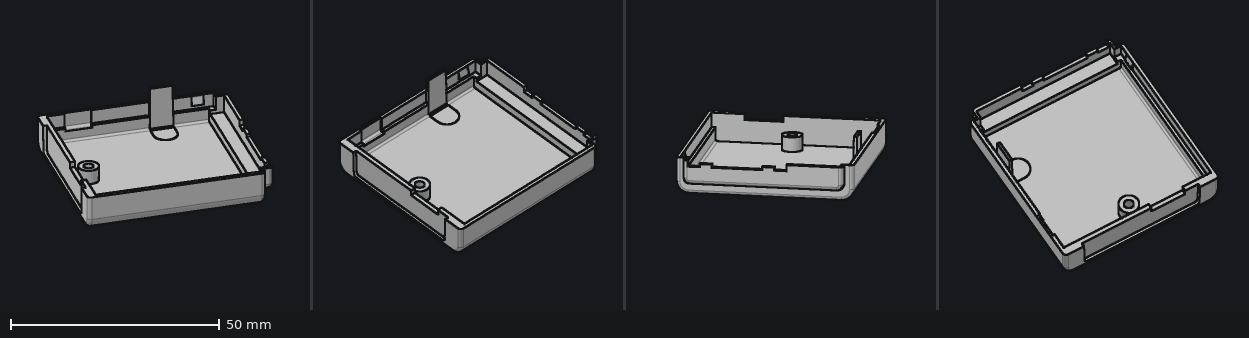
import cadquery as cq

width = 43.42
depth = 47.2
rim_height = 9.0
latch_height = 4.05

lip_projection = 2.6
body_depth = depth - lip_projection
side_radius = 3.0
corner_radius = 1.0
wall = 1.1
front_wall = 2.2
back_wall = 0.55

floor_z = 2.0
ledge_z = 5.45
shelf_z = 4.45

ledge_width = 0.95
well_fillet = 0.55
well_half_width = width / 2 - wall - ledge_width
well_back = 42.57

lip_half_width = 19.5
lip_bottom = 3.05
lip_side_radius = 1.5
lip_overlap = 2.35
lip_side_wall = 0.75
lip_back_wall = 1.15
shelf_half_width = lip_half_width - lip_side_wall

back_notch_left = -5.75
back_notch_right = 18.4
back_notch_depth = 1.5
stop_width = 2.95
stop_inset = 2.95
stop_drop = 0.75

panel_half_width = 16.3
panel_bottom_half_width = 16.05
panel_bottom = 1.6
panel_depth = 0.95
panel_radius = 0.95
front_notch_left = 3.15
front_notch_right = 12.65
front_notch_depth = 1.45

boss_x = 0.2
boss_y = 6.5
boss_radius = 2.5
boss_top = 5.6
screw_radius = 1.2

latch_front = 27.7
latch_width = 5.95
latch_thickness = 1.05
latch_taper = 0.8
pad_round_offset = 4.3
pad_height = 0.1

relief_front = 6.65
relief_length = 6.7
relief_depth = 0.42
relief_fillet = 0.65

snap_front = 38.4
snap_length = 3.0
snap_projection = 0.55
snap_top_drop = 0.4
snap_height = 2.1


def block(x_min, x_max, y_min, y_max, z_min, z_max):
    """Box given by its limits along each axis."""
    size = (x_max - x_min, y_max - y_min, z_max - z_min)
    return cq.Workplane("XY").box(*size, centered=False).translate((x_min, y_min, z_min))


def rounded_body(half_width, y_min, y_max, z_min, bottom_radius):
    """Block with round long bottom edges and a small radius around both ends."""
    body = block(-half_width, half_width, y_min, y_max, z_min, rim_height)
    body = body.edges("|Y and <Z").fillet(bottom_radius)
    return body.faces("<Y or >Y").edges("not(>Z)").fillet(corner_radius)


def outer_shell():
    body = rounded_body(width / 2, 0, body_depth, 0, side_radius)
    lip = rounded_body(lip_half_width, body_depth - lip_overlap, depth, lip_bottom, lip_side_radius)
    return body.union(lip)


def cavity():
    inner = width / 2 - wall
    upper = block(-inner, inner, front_wall, body_depth - back_wall, ledge_z, rim_height)
    well = block(-well_half_width, well_half_width, front_wall, well_back, floor_z, rim_height)
    well = well.edges("|Y and <Z").fillet(well_fillet)
    shelf = block(
        -shelf_half_width, shelf_half_width, well_back, depth - lip_back_wall, shelf_z, rim_height
    )
    return upper.union(well).union(shelf)


def back_notch():
    y_min = depth - lip_back_wall
    notch = block(
        back_notch_left, back_notch_right, y_min, depth, rim_height - back_notch_depth, rim_height
    )
    for x in (back_notch_left + stop_inset, back_notch_right - stop_inset - stop_width):
        notch = notch.cut(block(x, x + stop_width, y_min, depth, 0, rim_height - stop_drop))
    return notch


def front_panel():
    outline = [
        (-panel_half_width, rim_height),
        (-panel_bottom_half_width, panel_bottom),
        (panel_bottom_half_width, panel_bottom),
        (panel_half_width, rim_height),
    ]
    panel = cq.Workplane("XZ").polyline(outline).close().extrude(-panel_depth)
    return panel.edges("|Y and <Z").fillet(panel_radius)


def front_notch():
    return block(
        front_notch_left, front_notch_right, 0, front_wall, rim_height - front_notch_depth, rim_height
    )


def side_relief():
    """Shallow recess in the side wall that curves out and lowers the ledge below it."""
    x_min = -width / 2 + wall - relief_depth
    z_min = ledge_z - relief_fillet
    relief = block(
        x_min, -well_half_width, relief_front, relief_front + relief_length, z_min, rim_height
    )
    return relief.edges("|Y and <X and <Z").fillet(relief_fillet)


def latch_tongue():
    """Upright tongue against the side wall, tapering slightly toward its top."""
    x_middle = -width / 2 + wall + latch_thickness / 2
    base = cq.Workplane("XY", origin=(x_middle, latch_front + latch_width / 2, floor_z))
    height = rim_height + latch_height - floor_z
    return base.rect(latch_thickness, latch_width).extrude(height, taper=latch_taper)


def latch_pad():
    """Thin pad with a round end on the floor beside the tongue."""
    x_min = -well_half_width + well_fillet
    x_round = -width / 2 + wall + pad_round_offset
    radius = latch_width / 2
    outline = (
        cq.Workplane("XY", origin=(0, latch_front + radius, floor_z))
        .moveTo(x_min, -radius)
        .lineTo(x_round, -radius)
        .threePointArc((x_round + radius, 0), (x_round, radius))
        .lineTo(x_min, radius)
        .close()
    )
    return outline.extrude(pad_height)


def snap_wedge():
    x_wall = width / 2 - wall
    top = rim_height - snap_top_drop
    outline = [(x_wall, top), (x_wall - snap_projection, top - snap_height), (x_wall, top - snap_height)]
    wedge = cq.Workplane("XZ").polyline(outline).close().extrude(-snap_length)
    return wedge.translate((0, snap_front, 0))


case = outer_shell().cut(cavity()).cut(back_notch())
case = case.cut(front_panel()).cut(front_notch()).cut(side_relief())
case = case.union(latch_tongue()).union(latch_pad())

right_snap = snap_wedge()
left_snap = right_snap.mirror("YZ")
case = case.union(right_snap).union(left_snap)

boss = cq.Workplane("XY", origin=(boss_x, boss_y, floor_z))
boss = boss.circle(boss_radius).extrude(boss_top - floor_z)
screw_hole = cq.Workplane("XY", origin=(boss_x, boss_y, 0)).circle(screw_radius).extrude(boss_top)

result = case.union(boss).cut(screw_hole)